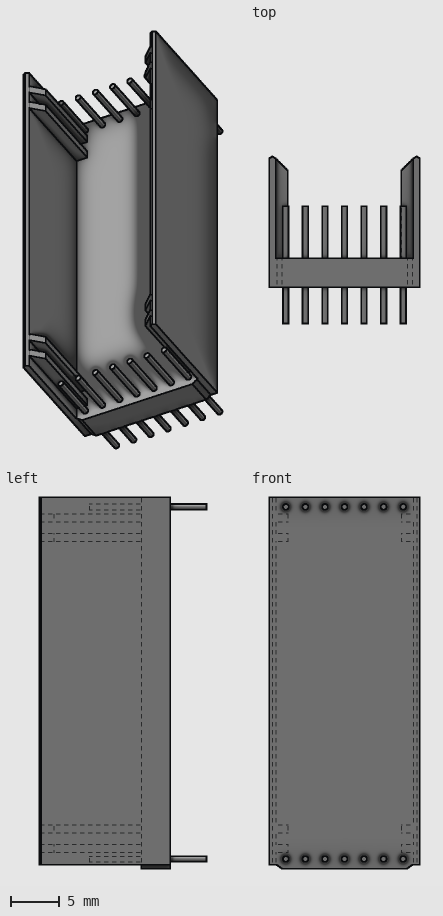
import cadquery as cq

width = 15.4
height = 38.0
total_depth = 17.1

base_thickness = 3.0
wall_thickness = 0.65
ridge_height = 0.2

tab_height = 0.4
tab_inset = 0.75
tab_end_run = 0.55

pin_diameter = 0.6
pin_pitch = 2.0
pins_per_row = 7
pin_row_inset = 1.0
pin_front_length = 3.7
pin_back_length = 5.3

rib_projection = 1.25
rib_thickness = 0.8
rib_pitch = 2.0
ribs_per_end = 2
rib_inset = 1.7

half_width = width / 2
wall_inner_x = half_width - wall_thickness
wall_back_y = total_depth - pin_front_length
wall_edge_y = wall_back_y - ridge_height


def make_channel():
    """U-shaped body: base plate with two side walls ending in a centred ridge."""
    right_half = [
        (0, 0),
        (half_width, 0),
        (half_width, wall_edge_y),
        (half_width - wall_thickness / 2, wall_back_y),
        (wall_inner_x, wall_edge_y),
        (wall_inner_x, base_thickness),
        (0, base_thickness),
    ]
    half = cq.Workplane("XY").workplane(offset=tab_height).polyline(right_half).close()
    half = half.extrude(height - tab_height)
    return half.union(half.mirror("YZ"))


def make_tab():
    """Tab below the base plate, with sloping ends."""
    top_x = half_width - tab_inset
    bottom_x = top_x - tab_end_run
    outline = [(-bottom_x, 0), (bottom_x, 0), (top_x, tab_height), (-top_x, tab_height)]
    return cq.Workplane("XZ").polyline(outline).close().extrude(-base_thickness)


def make_rib_pair(top_z):
    """Opposed ribs on both walls, with 45 degree lead-ins at their open ends."""
    rib_inner_x = wall_inner_x - rib_projection
    outline = [
        (wall_inner_x, base_thickness),
        (wall_inner_x, wall_edge_y),
        (rib_inner_x, wall_edge_y - rib_projection),
        (rib_inner_x, base_thickness),
    ]
    rib = cq.Workplane("XY").workplane(offset=top_z).polyline(outline).close()
    rib = rib.extrude(-rib_thickness)
    return rib.union(rib.mirror("YZ"))


def make_pin_row(row_z):
    """Row of round pins running through the base plate along Y."""
    length = pin_front_length + base_thickness + pin_back_length
    first_x = -pin_pitch * (pins_per_row - 1) / 2
    centres = [(first_x + i * pin_pitch, row_z) for i in range(pins_per_row)]
    plane = cq.Workplane("XZ", origin=(0, -pin_front_length, 0))
    return plane.pushPoints(centres).circle(pin_diameter / 2).extrude(-length)


result = make_channel().union(make_tab())
for i in range(ribs_per_end):
    drop = rib_inset + i * rib_pitch
    result = result.union(make_rib_pair(height - drop))
    result = result.union(make_rib_pair(drop + rib_thickness))
for row_z in (pin_row_inset, height - pin_row_inset):
    result = result.union(make_pin_row(row_z))